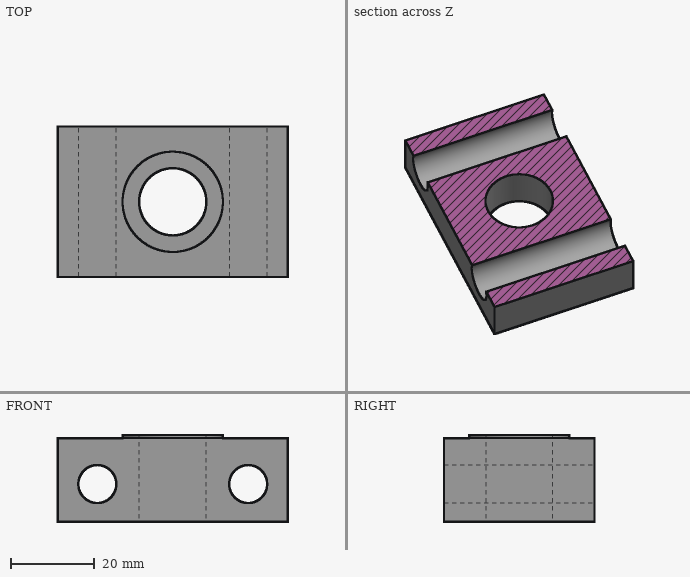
import cadquery as cq

length = 55.0
depth = 36.0
block_height = 20.0

collar_diameter = 24.0
collar_height = 0.75
bore_diameter = 16.0

cross_hole_diameter = 9.0
cross_hole_spacing = 36.0
cross_hole_height = 9.0

block = cq.Workplane("XY").box(length, depth, block_height, centered=(True, True, False))

bored_block = (
    block.faces(">Z").workplane()
    .circle(collar_diameter / 2)
    .extrude(collar_height)
    .faces(">Z").workplane()
    .hole(bore_diameter)
)

cross_holes = (
    cq.Workplane("XZ")
    .pushPoints([(side * cross_hole_spacing / 2, cross_hole_height) for side in (-1, 1)])
    .circle(cross_hole_diameter / 2)
    .extrude(depth / 2, both=True)
)

result = bored_block.cut(cross_holes)